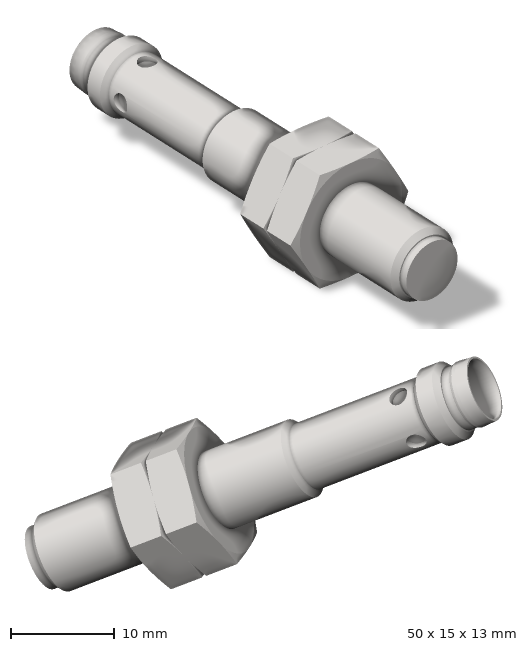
import cadquery as cq
import math

LENGTH = 50.0
THREAD_RADIUS = 4.0
BODY_RADIUS = 3.4
END_RADIUS = 3.25
EDGE_CHAMFER = THREAD_RADIUS - BODY_RADIUS

LIP_TIP_RADIUS = 3.3
LIP_CREST_START = 1.3
LIP_CREST_END = 1.7
LIP_END = 2.0
COLLAR_START = 2.9
COLLAR_END = 5.95

THREAD_START = 20.0
STUB_LENGTH = 0.9

SOCKET_RADIUS = 3.1
SOCKET_DEPTH = 5.0

WINDOW_COUNT = 4
WINDOW_X = 7.7
WINDOW_RADIUS = 1.0
WINDOW_DEPTH = 0.65
DRILL_POINT_ANGLE = 118.0

NUT_COUNT = 2
NUT_START = 30.0
NUT_THICKNESS = 4.0
NUT_ACROSS_FLATS = 13.0
NUT_BEVEL_ANGLE = 15.0
HEXAGON_SIDES = 6


def revolve_about_x(points):
    """Solid of revolution from (x, radius) points."""
    return cq.Workplane("XY").polyline(points).close().revolve(360, (0, 0, 0), (1, 0, 0))


def make_window_cutter():
    """Drill shape with a conical tip, entering the barrel from +Z."""
    floor = BODY_RADIUS - WINDOW_DEPTH
    tip = floor - WINDOW_RADIUS / math.tan(math.radians(DRILL_POINT_ANGLE / 2))
    profile = [(0, tip), (WINDOW_RADIUS, floor), (WINDOW_RADIUS, THREAD_RADIUS), (0, THREAD_RADIUS)]
    drill = cq.Workplane("XZ").polyline(profile).close().revolve(360, (0, 0, 0), (0, 1, 0))
    return drill.translate((WINDOW_X, 0, 0))


def make_barrel():
    thread_end = LENGTH - STUB_LENGTH
    barrel = revolve_about_x([
        (0, 0),
        (0, LIP_TIP_RADIUS),
        (LIP_CREST_START, BODY_RADIUS),
        (LIP_CREST_END, BODY_RADIUS),
        (LIP_END, END_RADIUS),
        (COLLAR_START, END_RADIUS),
        (COLLAR_START, BODY_RADIUS),
        (COLLAR_START + EDGE_CHAMFER, THREAD_RADIUS),
        (COLLAR_END - EDGE_CHAMFER, THREAD_RADIUS),
        (COLLAR_END, BODY_RADIUS),
        (THREAD_START, BODY_RADIUS),
        (THREAD_START + EDGE_CHAMFER, THREAD_RADIUS),
        (thread_end - EDGE_CHAMFER, THREAD_RADIUS),
        (thread_end, BODY_RADIUS),
        (thread_end, END_RADIUS),
        (LENGTH, END_RADIUS),
        (LENGTH, 0),
    ])
    socket = cq.Workplane("YZ").circle(SOCKET_RADIUS).extrude(SOCKET_DEPTH)
    barrel = barrel.cut(socket)
    window = make_window_cutter()
    for index in range(WINDOW_COUNT):
        angle = index * 360 / WINDOW_COUNT
        barrel = barrel.cut(window.rotate((0, 0, 0), (1, 0, 0), angle))
    return barrel


def make_nut(start):
    """Hexagon nut with both faces bevelled, its left face at X = start."""
    flat_radius = NUT_ACROSS_FLATS / 2
    corner_radius = flat_radius / math.cos(math.pi / HEXAGON_SIDES)
    bevel_depth = (corner_radius - flat_radius) * math.tan(math.radians(NUT_BEVEL_ANGLE))
    hexagon = cq.Workplane("YZ").polygon(HEXAGON_SIDES, 2 * corner_radius).extrude(NUT_THICKNESS)
    bevel_envelope = revolve_about_x([
        (0, 0),
        (0, flat_radius),
        (bevel_depth, corner_radius),
        (NUT_THICKNESS - bevel_depth, corner_radius),
        (NUT_THICKNESS, flat_radius),
        (NUT_THICKNESS, 0),
    ])
    bore = cq.Workplane("YZ").circle(THREAD_RADIUS).extrude(NUT_THICKNESS)
    return hexagon.intersect(bevel_envelope).cut(bore).translate((start, 0, 0))


barrel = make_barrel()
nuts = [make_nut(NUT_START + index * NUT_THICKNESS) for index in range(NUT_COUNT)]

result = cq.Compound.makeCompound([barrel.val(), *[nut.val() for nut in nuts]])